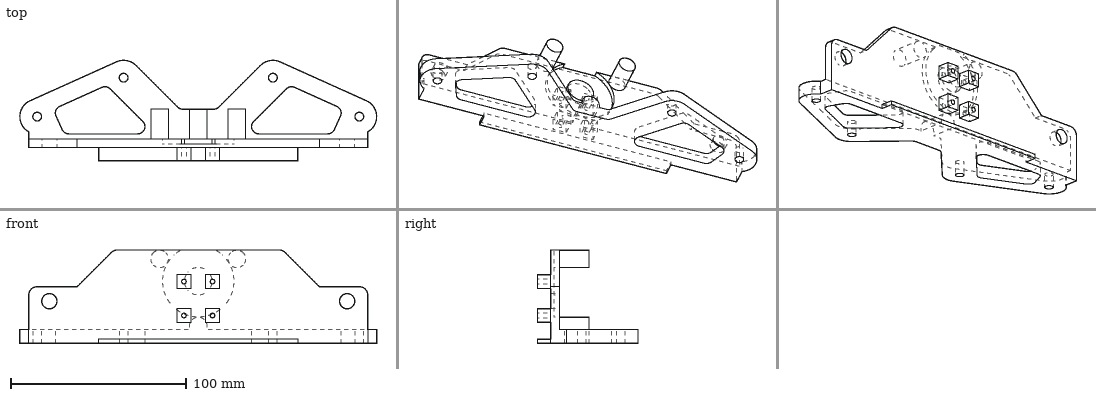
import cadquery as cq
import math


plate_width = 193.8
plate_thickness = 5.0
plate_height = 53.5
shoulder_height = 32.5
shoulder_inner_x = 69.2
corner_radius = 4.9
plate_hole_x = 85.0
plate_hole_z = 24.0
plate_hole_diameter = 8.5

overall_length = 204.0
base_thickness = 8.0
strip_depth = 22.0
wing_radius = 10.0
ear_hole_x = overall_length / 2 - wing_radius
ear_hole_y = 17.7
tip_hole_x = 42.6
tip_hole_y = 40.0
wing_hole_diameter = 4.9
wing_root_radius = 4.0
window_front_y = 8.0
window_radius = 4.0

lip_length = 113.8
lip_thickness = 2.5
front_projection = 7.5

block_size = 8.0
block_x = 8.2
lower_block_z = 16.0
upper_block_z = 35.3
block_hole_diameter = 2.7

hub_z = 35.5
standoff_diameter = 10.0
standoff_circle_radius = 25.5
standoff_count = 3
first_standoff_angle = 30

groove_diameter = 40.8
hub_diameter = 15.7
groove_depth = 3.0


def rear_facing_sketch_plane(y):
    """XZ plane at the given Y whose extrusions run towards +Y; local axes are (-X, Z)."""
    return cq.Workplane(cq.Plane(origin=(0, y, 0), xDir=(-1, 0, 0), normal=(0, 1, 0)))


def mirrored_pair(shape):
    return shape.union(shape.mirror("YZ"))


def make_plate():
    half_width = plate_width / 2
    top_half_width = shoulder_inner_x - (plate_height - shoulder_height)
    plate = (
        rear_facing_sketch_plane(0)
        .polyline([
            (-half_width, 0),
            (half_width, 0),
            (half_width, shoulder_height),
            (shoulder_inner_x, shoulder_height),
            (top_half_width, plate_height),
            (-top_half_width, plate_height),
            (-shoulder_inner_x, shoulder_height),
            (-half_width, shoulder_height),
        ])
        .close()
        .extrude(plate_thickness)
    )
    for x, z in ((half_width, shoulder_height), (top_half_width, plate_height)):
        for side in (-1, 1):
            corner = cq.selectors.NearestToPointSelector((side * x, plate_thickness / 2, z))
            plate = plate.edges("|Y").edges(corner).fillet(corner_radius)
    holes = (
        rear_facing_sketch_plane(0)
        .pushPoints([(-plate_hole_x, plate_hole_z), (plate_hole_x, plate_hole_z)])
        .circle(plate_hole_diameter / 2)
        .extrude(plate_thickness)
    )
    return plate.cut(holes)


wing_span = math.hypot(ear_hole_x - tip_hole_x, tip_hole_y - ear_hole_y)
along_x = (tip_hole_x - ear_hole_x) / wing_span
along_y = (tip_hole_y - ear_hole_y) / wing_span
outward_x = along_y
outward_y = -along_x
diagonal = math.sqrt(0.5)


def make_wing_outline():
    """Right half of the base: rounded ear and tip, then a 45 degree edge to the middle strip."""
    half_width = plate_width / 2
    lobe_end_y = ear_hole_y - math.sqrt(wing_radius**2 - (half_width - ear_hole_x) ** 2)
    ear_tangent = (ear_hole_x + wing_radius * outward_x, ear_hole_y + wing_radius * outward_y)
    tip_outer_tangent = (tip_hole_x + wing_radius * outward_x, tip_hole_y + wing_radius * outward_y)
    tip_inner_tangent = (tip_hole_x - wing_radius * diagonal, tip_hole_y + wing_radius * diagonal)
    root_x = tip_inner_tangent[0] - (tip_inner_tangent[1] - strip_depth)
    wing = (
        cq.Workplane("XY")
        .moveTo(0, 0)
        .lineTo(half_width, 0)
        .lineTo(half_width, lobe_end_y)
        .threePointArc((ear_hole_x + wing_radius, ear_hole_y), ear_tangent)
        .lineTo(*tip_outer_tangent)
        .threePointArc((tip_hole_x, tip_hole_y + wing_radius), tip_inner_tangent)
        .lineTo(root_x, strip_depth)
        .lineTo(0, strip_depth)
        .close()
        .extrude(base_thickness)
    )
    root = cq.selectors.NearestToPointSelector((root_x, strip_depth, base_thickness / 2))
    return wing.edges("|Z").edges(root).fillet(wing_root_radius)


def make_wing_window():
    """Window bounded by the hole-to-hole line, the 45 degree arm, the plate and the ear."""
    ear_corner = (ear_hole_x + wing_radius * along_x, ear_hole_y + wing_radius * along_y)
    drop = (ear_corner[1] - window_front_y) / outward_y
    front_ear_corner = (ear_corner[0] - drop * outward_x, window_front_y)
    arm_offset = tip_hole_y - tip_hole_x - wing_radius / diagonal
    front_arm_corner = (window_front_y - arm_offset, window_front_y)
    slope = along_y / along_x
    tip_corner_x = (ear_hole_y - slope * ear_hole_x - arm_offset) / (1 - slope)
    tip_corner = (tip_corner_x, tip_corner_x + arm_offset)
    return (
        cq.Workplane("XY")
        .polyline([ear_corner, front_ear_corner, front_arm_corner, tip_corner])
        .close()
        .extrude(base_thickness)
        .edges("|Z")
        .fillet(window_radius)
    )


def make_base():
    holes = (
        cq.Workplane("XY")
        .pushPoints([(ear_hole_x, ear_hole_y), (tip_hole_x, tip_hole_y)])
        .circle(wing_hole_diameter / 2)
        .extrude(base_thickness)
    )
    return mirrored_pair(make_wing_outline().cut(make_wing_window()).cut(holes))


def make_lip():
    return (
        cq.Workplane("XY")
        .box(lip_length, front_projection, lip_thickness, centered=(True, False, False))
        .translate((0, -front_projection, 0))
    )


def make_blocks():
    centers = [(x, z) for x in (-block_x, block_x) for z in (lower_block_z, upper_block_z)]
    face = rear_facing_sketch_plane(-front_projection).pushPoints(centers)
    blocks = face.rect(block_size, block_size).extrude(front_projection)
    pin_holes = face.circle(block_hole_diameter / 2).extrude(front_projection)
    return blocks, pin_holes


def make_standoffs():
    """Three round standoffs; the lowest stands on the base through a straight-sided foot."""
    length = strip_depth - plate_thickness
    standoffs = (
        rear_facing_sketch_plane(plate_thickness)
        .center(0, hub_z)
        .polarArray(standoff_circle_radius, first_standoff_angle, 360, standoff_count)
        .circle(standoff_diameter / 2)
        .extrude(length)
    )
    foot_height = hub_z - standoff_circle_radius
    foot = (
        cq.Workplane("XY")
        .box(standoff_diameter, length, foot_height, centered=(True, False, False))
        .translate((0, plate_thickness, 0))
    )
    return standoffs.union(foot)


def make_ring_groove():
    return (
        rear_facing_sketch_plane(plate_thickness - groove_depth)
        .center(0, hub_z)
        .circle(groove_diameter / 2)
        .circle(hub_diameter / 2)
        .extrude(groove_depth)
    )


blocks, pin_holes = make_blocks()
result = (
    make_plate()
    .cut(make_ring_groove())
    .union(make_base())
    .union(make_lip())
    .union(make_standoffs())
    .union(blocks)
    .cut(pin_holes)
)